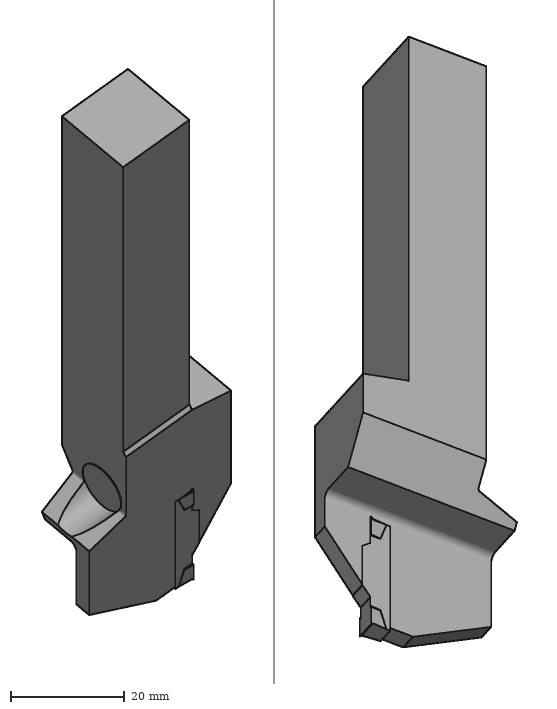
import cadquery as cq

SHANK = 15.9
TOP_Z = 126.4

HEAD_RIGHT = 16.7
HEAD_FRONT = -8.8
HEAD_BACK = 25.3
HEAD_BOTTOM = 26.5
HEAD_TOP = 46.7
BACK_SLOPE_DROP = 2.4
FOOT_TOP = 30.5
FOOT_FILLET = 0.5
FOOT_SLOPE_DROP = 2.5
SIDE_CUT_TOP = 35.4
SIDE_CUT_WIDTH = 5.2

GROOVE_DIAMETER = 10.0
GROOVE_X = 10.4
GROOVE_Z = 32.6
GROOVE_RECESS = 0.1

BLADE_LEFT = 13.3
BLADE_BOTTOM = 1.0
BLADE_FLAT_FRONT = 7.2
BLADE_FRONT_Z = 10.2
BLADE_BACK_Z = 18.7
BLADE_NOSE_Z = 6.5
BLADE_FILLET = 1.5

INSERT_FRONT = 11.9
INSERT_FACE = SHANK
INSERT_BULGE = 17.5
INSERT_TOP = 24.9
BULGE_TOP = 17.5
BULGE_BOTTOM = 8.5
BULGE_SHOULDER_TOP = 19.0
LIP_HEIGHT = 0.4
LIP_DEPTH = 0.4
TIP_LEFT = 13.0
TIP_RIGHT = 17.0
TIP_HEIGHT = 4.2
TIP_ROOT_Y = 12.6
TIP_KNEE_Y = 13.9


def side_prism(points, left, right):
    """Extrude a (Y, Z) outline from x = left to x = right."""
    return cq.Workplane("YZ", origin=(left, 0, 0)).polyline(points).close().extrude(right - left)


def make_head():
    head = side_prism(
        [
            (0, HEAD_TOP),
            (SHANK, HEAD_TOP),
            (HEAD_BACK, HEAD_TOP - BACK_SLOPE_DROP),
            (HEAD_BACK, HEAD_BOTTOM),
            (HEAD_FRONT, HEAD_BOTTOM),
            (HEAD_FRONT, FOOT_TOP - FOOT_SLOPE_DROP),
            (0, FOOT_TOP),
        ],
        0,
        HEAD_RIGHT,
    )
    side_cut = (
        cq.Workplane("XZ", origin=(0, HEAD_BACK, 0))
        .polyline([(0, SIDE_CUT_TOP), (SIDE_CUT_WIDTH, HEAD_BOTTOM), (0, HEAD_BOTTOM)])
        .close()
        .extrude(HEAD_BACK - HEAD_FRONT)
    )
    foot_corner = cq.selectors.NearestToPointSelector((HEAD_RIGHT / 2, 0, FOOT_TOP))
    return head.cut(side_cut).edges(foot_corner).fillet(FOOT_FILLET)


def make_step_ramp():
    """45 degree ramp from the shank side out to the wider head."""
    step = HEAD_RIGHT - SHANK
    return (
        cq.Workplane("XZ", origin=(0, SHANK, 0))
        .polyline([(SHANK, HEAD_TOP), (HEAD_RIGHT, HEAD_TOP), (SHANK, HEAD_TOP + step)])
        .close()
        .extrude(SHANK)
    )


def make_blade():
    return side_prism(
        [
            (HEAD_FRONT, HEAD_BOTTOM),
            (HEAD_BACK, HEAD_BOTTOM),
            (HEAD_BACK, BLADE_BACK_Z),
            (INSERT_FACE, BLADE_NOSE_Z),
            (INSERT_FRONT, BLADE_BOTTOM),
            (BLADE_FLAT_FRONT, BLADE_BOTTOM),
            (HEAD_FRONT, BLADE_FRONT_Z),
        ],
        BLADE_LEFT,
        HEAD_RIGHT,
    )


def make_insert_core():
    return side_prism(
        [
            (INSERT_FACE, 0),
            (INSERT_FACE, BLADE_NOSE_Z),
            (INSERT_BULGE, BULGE_BOTTOM),
            (INSERT_BULGE, BULGE_TOP),
            (INSERT_FACE, BULGE_SHOULDER_TOP),
            (INSERT_FACE, INSERT_TOP),
            (INSERT_FACE - LIP_DEPTH, INSERT_TOP - LIP_HEIGHT),
            (INSERT_FRONT, INSERT_TOP - LIP_HEIGHT),
            (INSERT_FRONT, LIP_HEIGHT),
            (INSERT_FACE - LIP_DEPTH, LIP_HEIGHT),
        ],
        BLADE_LEFT,
        HEAD_RIGHT,
    )


def make_tip(edge_z, direction):
    """Wider cutting end, narrowing to the core thickness away from its face."""
    lip_z = edge_z + direction * LIP_HEIGHT
    root_z = edge_z + direction * TIP_HEIGHT
    outline = side_prism(
        [
            (INSERT_FACE, edge_z),
            (INSERT_FACE, root_z),
            (TIP_KNEE_Y, root_z),
            (TIP_ROOT_Y, lip_z),
            (INSERT_FACE - LIP_DEPTH, lip_z),
        ],
        TIP_LEFT,
        TIP_RIGHT,
    )
    relief = (
        cq.Workplane("XY")
        .polyline(
            [
                (TIP_LEFT, INSERT_FACE),
                (TIP_RIGHT, INSERT_FACE),
                (HEAD_RIGHT, TIP_ROOT_Y),
                (BLADE_LEFT, TIP_ROOT_Y),
            ]
        )
        .close()
        .extrude(INSERT_TOP)
    )
    return outline.intersect(relief)


def make_insert():
    insert = make_insert_core()
    for edge_z, direction in ((0, 1), (INSERT_TOP, -1)):
        insert = insert.union(make_tip(edge_z, direction))
    return insert.solids()


def make_holder(insert):
    shank = cq.Workplane("XY", origin=(0, 0, HEAD_TOP)).rect(SHANK, SHANK, centered=False)
    shank = shank.extrude(TOP_Z - HEAD_TOP)
    holder = make_head().union(shank).union(make_step_ramp()).union(make_blade())
    inner_corner = cq.selectors.NearestToPointSelector(
        (BLADE_LEFT, (HEAD_FRONT + HEAD_BACK) / 2, HEAD_BOTTOM)
    )
    holder = holder.edges(inner_corner).fillet(BLADE_FILLET)
    groove = (
        cq.Workplane("XZ", origin=(GROOVE_X, GROOVE_RECESS, GROOVE_Z))
        .circle(GROOVE_DIAMETER / 2)
        .extrude(GROOVE_RECESS - HEAD_FRONT)
    )
    return holder.cut(groove).cut(insert).solids()


insert = make_insert()
holder = make_holder(insert)
result = cq.Compound.makeCompound([holder.val(), insert.val()])